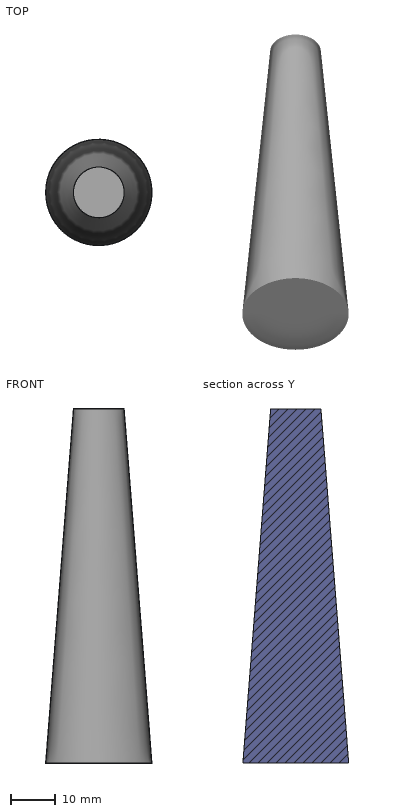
import cadquery as cq

height = 80
base_diameter = 24
top_diameter = 11.4

base_radius = base_diameter / 2
top_radius = top_diameter / 2

profile = (
    cq.Workplane("XZ")
    .moveTo(0, 0)
    .lineTo(-base_radius, 0)
    .lineTo(-top_radius, height)
    .lineTo(0, height)
    .close()
)

result = profile.revolve(360, (0, 0, 0), (0, 1, 0))